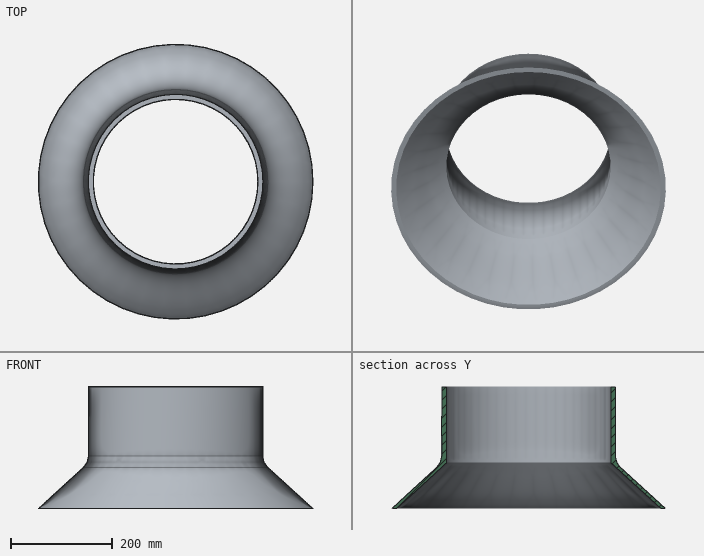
import cadquery as cq

rim_diameter = 540.0
neck_outer_diameter = 343.0
total_height = 240.0
skirt_height = 90.0
wall = 10.0
blend_radius = 30.0

rim_outer_radius = rim_diameter / 2
neck_outer_radius = neck_outer_diameter / 2
rim_inner_radius = rim_outer_radius - wall
neck_inner_radius = neck_outer_radius - wall


def make_blank(rim_radius, neck_radius):
    """Solid of revolution about Z: a conical skirt running into a cylindrical neck."""
    half_section = [
        (0, 0),
        (rim_radius, 0),
        (neck_radius, skirt_height),
        (neck_radius, total_height),
        (0, total_height),
    ]
    return cq.Workplane("XZ").polyline(half_section).close().revolve(360, (0, 0, 0), (0, 1, 0))


def make_outer_body():
    """Outer shape, with the concave corner between skirt and neck rounded."""
    blank = make_blank(rim_outer_radius, neck_outer_radius)
    corner_edge = cq.selectors.NearestToPointSelector((0, 0, skirt_height))
    return blank.edges("%CIRCLE").edges(corner_edge).fillet(blend_radius)


def make_bore():
    """Through opening: the outer shape moved inward by the wall, with a sharp corner."""
    return make_blank(rim_inner_radius, neck_inner_radius)


result = make_outer_body().cut(make_bore())